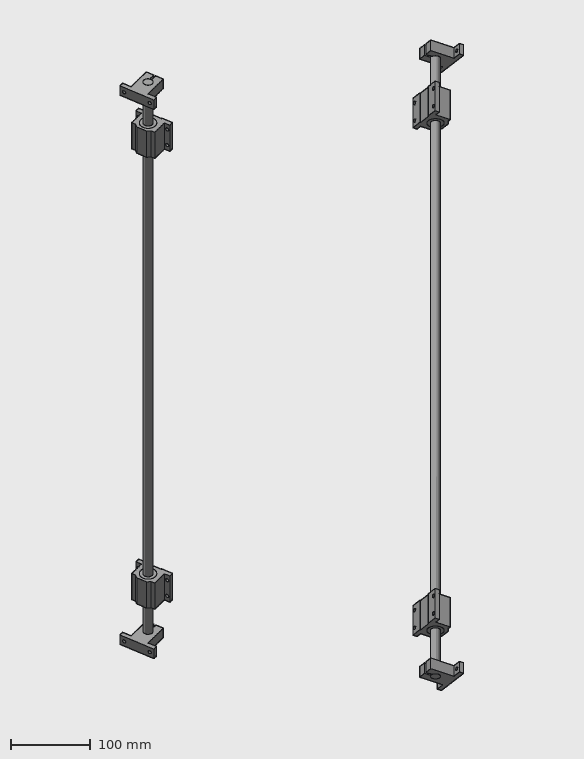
import cadquery as cq


shaft_length = 914.0
shaft_diameter = 13.0

support_width = 51.0
support_thickness = 16.0
support_base_depth = 26.0
support_top_depth = 16.0
support_base_thickness = 6.0
support_body_width = 26.0
support_slit_width = 3.0
support_hole_spacing = 38.0
support_hole_diameter = 5.0

block_width = support_width
block_length = 43.0
block_base_depth = 17.0
block_base_thickness = 6.0
block_body_width = 35.0
block_shoulder_depth = 11.0
block_crown_depth = 15.0
block_crown_root_width = 24.0
block_crown_width = 15.0
block_relief_width = 18.0
block_relief_depth = 1.0
block_hole_spacing_x = 43.0
block_hole_spacing_z = 26.0
block_hole_diameter = 5.0
block_end_distance = 67.0

bushing_diameter = 22.0


def make_shaft():
    return cq.Workplane("XY").circle(shaft_diameter / 2).extrude(shaft_length)


def make_support(bottom_z):
    """T-shaped clamp with a shaft bore, a slit open to +Y and two mounting holes along Y."""
    mounting_y = -support_base_depth
    base = (
        cq.Workplane("XY")
        .box(support_width, support_base_thickness, support_thickness, centered=(True, False, False))
        .translate((0, mounting_y, 0))
    )
    body_depth = support_base_depth + support_top_depth
    body = (
        cq.Workplane("XY")
        .box(support_body_width, body_depth, support_thickness, centered=(True, False, False))
        .translate((0, mounting_y, 0))
    )
    bore = cq.Workplane("XY").circle(shaft_diameter / 2).extrude(support_thickness)
    slit = cq.Workplane("XY").box(
        support_slit_width, support_top_depth, support_thickness, centered=(True, False, False)
    )
    mounting_holes = (
        cq.Workplane("XZ", origin=(0, mounting_y, support_thickness / 2))
        .rarray(support_hole_spacing, 9, 2, 1)
        .circle(support_hole_diameter / 2)
        .extrude(-support_base_thickness)
    )
    support = base.union(body).cut(bore).cut(slit).cut(mounting_holes)
    return support.translate((0, 0, bottom_z))


def make_block(bottom_z):
    """Flanged block with a tapered crown on -Y, a bushing bore, a relieved mounting face and four holes."""
    flange_y = block_base_depth - block_base_thickness
    relief_y = block_base_depth - block_relief_depth
    half_outline = [
        (0, relief_y),
        (block_relief_width / 2, relief_y),
        (block_relief_width / 2, block_base_depth),
        (block_width / 2, block_base_depth),
        (block_width / 2, flange_y),
        (block_body_width / 2, flange_y),
        (block_body_width / 2, -block_shoulder_depth),
        (block_crown_root_width / 2, -block_shoulder_depth),
        (block_crown_width / 2, -block_crown_depth),
        (0, -block_crown_depth),
    ]
    profile = cq.Workplane("XY").polyline(half_outline).mirrorY().extrude(block_length)
    bore = cq.Workplane("XY").circle(bushing_diameter / 2).extrude(block_length)
    mounting_holes = (
        cq.Workplane("XZ", origin=(0, flange_y, block_length / 2))
        .rarray(block_hole_spacing_x, block_hole_spacing_z, 2, 2)
        .circle(block_hole_diameter / 2)
        .extrude(-block_base_thickness)
    )
    return profile.cut(bore).cut(mounting_holes).translate((0, 0, bottom_z))


def make_bushing(bottom_z):
    """Plain sleeve that fills the gap between the shaft and its pillow block."""
    return (
        cq.Workplane("XY", origin=(0, 0, bottom_z))
        .circle(bushing_diameter / 2)
        .circle(shaft_diameter / 2)
        .extrude(block_length)
    )


support_positions = [0, shaft_length - support_thickness]
block_positions = [block_end_distance, shaft_length - block_end_distance - block_length]

shaft = make_shaft()
supports = [make_support(z) for z in support_positions]
blocks = [make_block(z) for z in block_positions]
bushings = [make_bushing(z) for z in block_positions]

bodies = [shaft, *supports, *blocks, *bushings]
result = cq.Compound.makeCompound([body.val() for body in bodies])